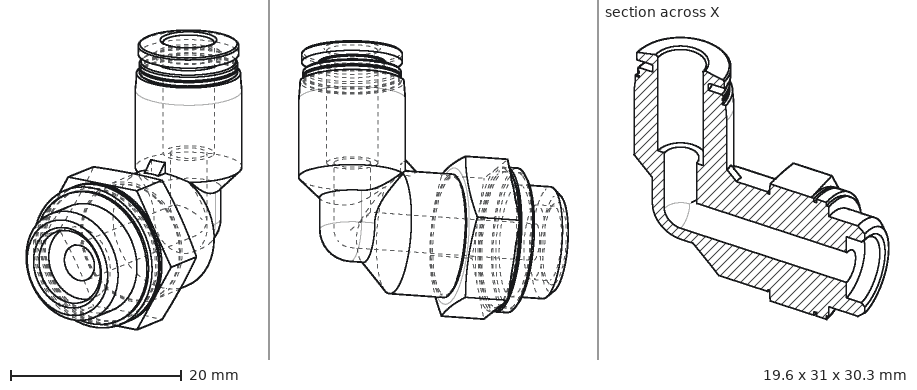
import cadquery as cq
import math


elbow_radius = 3.8
passage_diameter = 4.3

body_diameter = 12.5
body_top_diameter = 12.2
body_draft_start = 15.7
body_top = 17.75
collar_diameter = 11.5
collar_chamfer = 0.2
collar_top = 19.15
collar_groove_depth = 0.15
collar_groove_width = 0.2
collar_groove_base = 18.3
collar_foot = 0.1
neck_diameter = 7.5
neck_flare = 0.15
button_diameter = 11.8
button_base = 20.1
button_edge_round = 0.2
button_rim_top = 21.3
button_top = 21.8
tube_bore_diameter = 6.0
tube_mouth_diameter = 6.6
tube_mouth_chamfer = 0.3
tube_bore_floor = 8.0

sleeve_diameter = 14.5
sleeve_shoulder = 5.1
sleeve_end = 11.7
step_diameter = 14.0
hex_flats = 17.0
hex_start = 11.9
hex_end = 17.55
hex_chamfer_diameter = 16.0
hex_chamfer_angle = 15.0
flange_diameter = 17.0
flange_end = 17.9
seal_groove_diameter = 16.0
seal_start = 18.2
seal_end = 19.55
seal_seat_end = 19.9
thread_diameter = 13.16
thread_chamfer_diameter = 11.5
thread_chamfer_start = 23.75
thread_end = 24.7
port_bore_diameter = 8.77
port_mouth_diameter = 9.7
port_mouth_chamfer = 0.45
port_bore_floor = 22.25

rib_width = 2.0
rib_top = 8.5


def turn(profile):
    """Revolve a profile of (radius, height) points about Z."""
    return cq.Workplane("XZ").polyline(profile).close().revolve(360, (0, 0, 0), (0, 1, 0))


def toward_thread(solid):
    """Lay a solid built along +Z onto the -Y axis."""
    return solid.rotate((0, 0, 0), (1, 0, 0), 90)


def cylinder(diameter, start, end):
    """Cylinder on the Z axis between two heights."""
    return cq.Workplane("XY").workplane(offset=start).circle(diameter / 2).extrude(end - start)


def make_elbow():
    corner = cq.Workplane("XY").sphere(elbow_radius)
    upright = cylinder(2 * elbow_radius, 0, body_diameter / 2)
    level = toward_thread(cylinder(2 * elbow_radius, 0, sleeve_shoulder))
    web = cq.Workplane("XY").box(
        2 * elbow_radius, sleeve_shoulder, body_diameter / 2, centered=(True, False, False)
    )
    web = web.translate((0, -sleeve_shoulder, 0))
    return corner.union(upright).union(level).union(web)


def make_tube_port():
    body_radius = body_diameter / 2
    collar_radius = collar_diameter / 2
    groove_radius = collar_radius - collar_groove_depth
    neck_radius = neck_diameter / 2
    button_radius = button_diameter / 2
    groove_top = collar_groove_base + collar_groove_width
    return turn([
        (0, elbow_radius),
        (elbow_radius, elbow_radius),
        (body_radius, body_radius),
        (body_radius, body_draft_start),
        (body_top_diameter / 2, body_top),
        (groove_radius, body_top),
        (groove_radius, body_top + collar_foot),
        (collar_radius, body_top + collar_foot),
        (collar_radius, collar_groove_base),
        (groove_radius, collar_groove_base),
        (groove_radius, groove_top),
        (collar_radius, groove_top),
        (collar_radius, collar_top - collar_chamfer),
        (collar_radius - collar_chamfer, collar_top),
        (neck_radius, collar_top),
        (neck_radius, button_base - neck_flare),
        (neck_radius + neck_flare, button_base),
        (button_radius, button_base),
        (button_radius, button_rim_top - button_edge_round),
        (button_radius - button_edge_round, button_rim_top),
        (tube_mouth_diameter / 2, button_top),
        (0, button_top),
    ])


def make_sleeve():
    sleeve_radius = sleeve_diameter / 2
    cone_start = sleeve_shoulder - (sleeve_radius - elbow_radius)
    return toward_thread(turn([
        (0, cone_start),
        (elbow_radius, cone_start),
        (sleeve_radius, sleeve_shoulder),
        (sleeve_radius, sleeve_end),
        (step_diameter / 2, sleeve_end),
        (step_diameter / 2, hex_start),
        (0, hex_start),
    ]))


def make_hex():
    corner_diameter = hex_flats / math.cos(math.pi / 6)
    prism = cq.Workplane("XY").workplane(offset=hex_start).polygon(6, corner_diameter).extrude(
        hex_end - hex_start
    )
    chamfer_width = (corner_diameter - hex_chamfer_diameter) / 2
    chamfer_height = chamfer_width * math.tan(math.radians(hex_chamfer_angle))
    envelope = turn([
        (0, hex_start),
        (hex_chamfer_diameter / 2, hex_start),
        (corner_diameter / 2, hex_start + chamfer_height),
        (corner_diameter / 2, hex_end),
        (0, hex_end),
    ])
    return toward_thread(prism.intersect(envelope))


def make_threaded_end():
    thread_radius = thread_diameter / 2
    rings = cylinder(flange_diameter, hex_end, flange_end)
    rings = rings.union(cylinder(seal_groove_diameter, hex_end, seal_seat_end))
    rings = rings.union(cylinder(flange_diameter, seal_start, seal_end))
    thread = turn([
        (0, hex_end),
        (thread_radius, hex_end),
        (thread_radius, thread_chamfer_start),
        (thread_chamfer_diameter / 2, thread_end),
        (0, thread_end),
    ])
    return toward_thread(rings.union(thread))


def make_rib():
    """Rib with a front edge sloped at 45 degrees in the inner corner of the two ports."""
    inner = sleeve_shoulder
    foot = elbow_radius
    front = body_diameter / 2
    toe = front + rib_top - foot
    outline = [(-inner, foot), (-inner, rib_top), (-front, rib_top), (-toe, foot)]
    return cq.Workplane("YZ").polyline(outline).close().extrude(rib_width / 2, both=True)


def make_bore(bore_diameter, floor, mouth_diameter, mouth_chamfer, end):
    """Passage from the origin that widens into a stepped bore with a chamfered mouth."""
    return turn([
        (0, 0),
        (passage_diameter / 2, 0),
        (passage_diameter / 2, floor),
        (bore_diameter / 2, floor),
        (bore_diameter / 2, end - mouth_chamfer),
        (mouth_diameter / 2, end),
        (0, end),
    ])


def make_passage():
    corner = cq.Workplane("XY").sphere(passage_diameter / 2)
    tube_bore = make_bore(
        tube_bore_diameter, tube_bore_floor, tube_mouth_diameter, tube_mouth_chamfer, button_top
    )
    port_bore = make_bore(
        port_bore_diameter, port_bore_floor, port_mouth_diameter, port_mouth_chamfer, thread_end
    )
    return corner.union(tube_bore).union(toward_thread(port_bore))


result = (
    make_elbow()
    .union(make_tube_port())
    .union(make_sleeve())
    .union(make_hex())
    .union(make_threaded_end())
    .union(make_rib())
    .cut(make_passage())
)